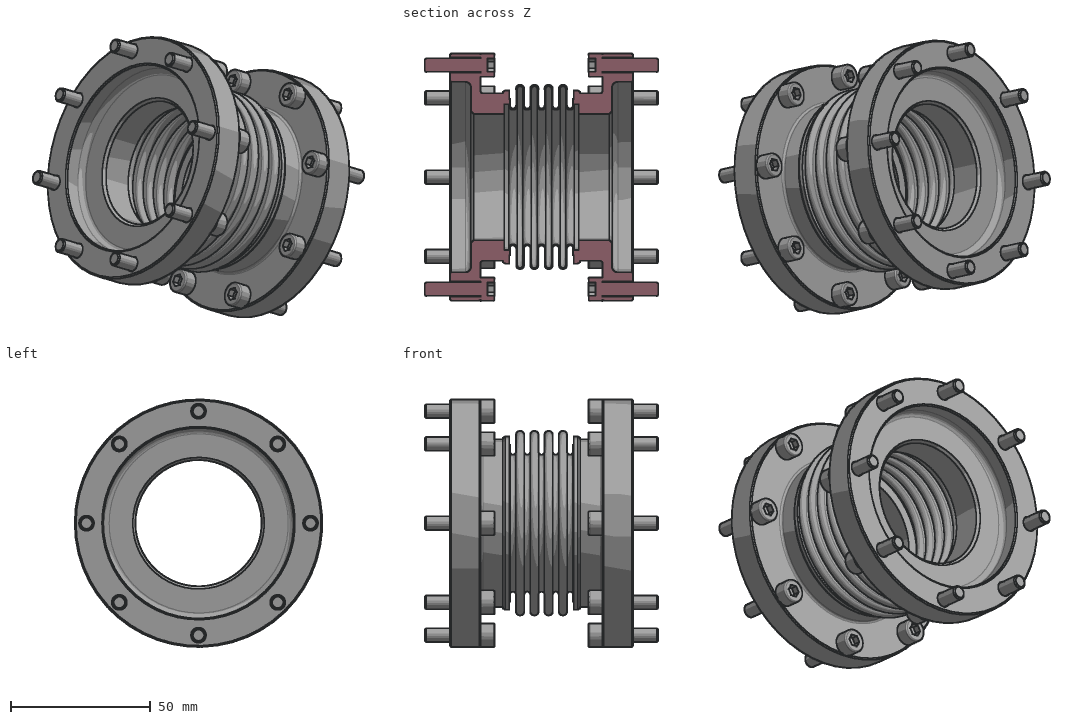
import cadquery as cq
import math


FULL_TURN = 360.0

SCREW_COUNT = 8
SCREW_CIRCLE_RADIUS = 40.0
SHANK_DIAMETER = 5.0
SHANK_LENGTH = 20.0
SHANK_CHAMFER = 0.5
CLEARANCE_DIAMETER = 5.4
HEAD_DIAMETER = 8.5
HEAD_HEIGHT = 5.0
HEAD_FILLET = 0.5
SOCKET_ACROSS_FLATS = 4.0
SOCKET_DEPTH = 2.5
SOCKET_ROTATION = 90.0

HALF_LENGTH = 83.44 / 2
FLANGE_THICKNESS = 11.0
FLANGE_INNER = HALF_LENGTH - SHANK_LENGTH
FLANGE_OUTER = FLANGE_INNER + FLANGE_THICKNESS
COLLAR_OUTER = 13.75
COLLAR_INNER = 11.45
BORE_INNER = 13.25

FLANGE_RADIUS = 88.5 / 2
FLANGE_CHAMFER = 0.5
RECESS_RADIUS = 68.0 / 2
RECESS_DEPTH = 7.5
RECESS_CHAMFER = 0.5
RECESS_FILLET = 2.0
BORE_RADIUS = 45.0 / 2
BORE_CHAMFER = 1.0
COLLAR_BORE_RADIUS = 26.0
NECK_RADIUS = 60.0 / 2
NECK_FILLET = 0.8
COLLAR_RADIUS = 62.0 / 2
COLLAR_SHOULDER_RADIUS = 61.0 / 2
COLLAR_CHAMFER_LENGTH = 0.75

CREST_COUNT = 4
PITCH = 5.1
WALL = 0.5
CREST_RADIUS = 33.0
BELLOWS_INNER_RADIUS = 24.0
END_WALL_RADIUS = 28.0


def revolve_about_x(profile):
    """Revolve a closed (X, radius) profile drawn on the XY plane."""
    return profile.close().revolve(FULL_TURN, (0, 0, 0), (1, 0, 0))


def make_end_fitting():
    """Flange, neck and collar on the +X side as one turned body."""
    recess_floor = FLANGE_OUTER - RECESS_DEPTH
    diagonal = math.sqrt(0.5)
    recess_bend = (
        recess_floor + RECESS_FILLET * (1 - diagonal),
        RECESS_RADIUS - RECESS_FILLET * (1 - diagonal),
    )
    neck_bend = (
        FLANGE_INNER - NECK_FILLET * (1 - diagonal),
        NECK_RADIUS + NECK_FILLET * (1 - diagonal),
    )
    profile = (
        cq.Workplane("XY")
        .moveTo(COLLAR_INNER, COLLAR_BORE_RADIUS)
        .lineTo(BORE_INNER, COLLAR_BORE_RADIUS)
        .lineTo(BORE_INNER, BORE_RADIUS)
        .lineTo(recess_floor - BORE_CHAMFER, BORE_RADIUS)
        .lineTo(recess_floor, BORE_RADIUS + BORE_CHAMFER)
        .lineTo(recess_floor, RECESS_RADIUS - RECESS_FILLET)
        .threePointArc(recess_bend, (recess_floor + RECESS_FILLET, RECESS_RADIUS))
        .lineTo(FLANGE_OUTER - RECESS_CHAMFER, RECESS_RADIUS)
        .lineTo(FLANGE_OUTER, RECESS_RADIUS + RECESS_CHAMFER)
        .lineTo(FLANGE_OUTER, FLANGE_RADIUS - FLANGE_CHAMFER)
        .lineTo(FLANGE_OUTER - FLANGE_CHAMFER, FLANGE_RADIUS)
        .lineTo(FLANGE_INNER + FLANGE_CHAMFER, FLANGE_RADIUS)
        .lineTo(FLANGE_INNER, FLANGE_RADIUS - FLANGE_CHAMFER)
        .lineTo(FLANGE_INNER, NECK_RADIUS + NECK_FILLET)
        .threePointArc(neck_bend, (FLANGE_INNER - NECK_FILLET, NECK_RADIUS))
        .lineTo(COLLAR_OUTER, NECK_RADIUS)
        .lineTo(COLLAR_OUTER, COLLAR_SHOULDER_RADIUS)
        .lineTo(COLLAR_OUTER - COLLAR_CHAMFER_LENGTH, COLLAR_RADIUS)
        .lineTo(COLLAR_INNER, COLLAR_RADIUS)
    )
    return revolve_about_x(profile)


def screw_positions():
    """(Y, Z) centres of the screws on the bolt circle."""
    step = 2 * math.pi / SCREW_COUNT
    angles = [index * step for index in range(SCREW_COUNT)]
    return [(SCREW_CIRCLE_RADIUS * math.cos(a), SCREW_CIRCLE_RADIUS * math.sin(a)) for a in angles]


def make_clearance_holes():
    """Through holes of the flange, wider than the screw shanks."""
    return (
        cq.Workplane("YZ", origin=(FLANGE_INNER, 0, 0))
        .pushPoints(screw_positions())
        .circle(CLEARANCE_DIAMETER / 2)
        .extrude(FLANGE_THICKNESS)
    )


def make_screw():
    """One screw on the X axis, its head seated on the inner flange face."""
    head_top = FLANGE_INNER - HEAD_HEIGHT
    head = (
        cq.Workplane("YZ", origin=(head_top, 0, 0))
        .circle(HEAD_DIAMETER / 2)
        .extrude(HEAD_HEIGHT)
        .faces("<X")
        .edges()
        .fillet(HEAD_FILLET)
    )
    socket = (
        cq.Workplane("YZ", origin=(head_top, 0, 0))
        .transformed(rotate=(0, 0, SOCKET_ROTATION))
        .polygon(6, SOCKET_ACROSS_FLATS, circumscribed=True)
        .extrude(SOCKET_DEPTH)
    )
    shank = (
        cq.Workplane("YZ", origin=(FLANGE_INNER, 0, 0))
        .circle(SHANK_DIAMETER / 2)
        .extrude(SHANK_LENGTH)
        .faces(">X")
        .chamfer(SHANK_CHAMFER)
    )
    return head.cut(socket).union(shank)


def make_bellows():
    """Thin corrugated tube: a wall of even thickness with round crests and valleys."""
    wide_bend = PITCH / 4 + WALL / 2
    tight_bend = PITCH / 4 - WALL / 2
    crest_center_radius = CREST_RADIUS - wide_bend
    valley_center_radius = BELLOWS_INNER_RADIUS + wide_bend
    first_valley = -CREST_COUNT * PITCH / 2
    valleys = [first_valley + index * PITCH for index in range(CREST_COUNT + 1)]

    profile = cq.Workplane("XY").moveTo(valleys[0] - tight_bend, END_WALL_RADIUS)
    for valley in valleys:
        if valley != valleys[0]:
            crest = valley - PITCH / 2
            profile = (
                profile.lineTo(crest - wide_bend, crest_center_radius)
                .threePointArc((crest, CREST_RADIUS), (crest + wide_bend, crest_center_radius))
            )
        profile = (
            profile.lineTo(valley - tight_bend, valley_center_radius)
            .threePointArc(
                (valley, valley_center_radius - tight_bend), (valley + tight_bend, valley_center_radius)
            )
        )
    profile = profile.lineTo(valleys[-1] + tight_bend, END_WALL_RADIUS)

    profile = profile.lineTo(valleys[-1] + wide_bend, END_WALL_RADIUS)
    for valley in reversed(valleys):
        if valley != valleys[-1]:
            crest = valley + PITCH / 2
            profile = (
                profile.lineTo(crest + tight_bend, crest_center_radius)
                .threePointArc(
                    (crest, crest_center_radius + tight_bend), (crest - tight_bend, crest_center_radius)
                )
            )
        profile = (
            profile.lineTo(valley + wide_bend, valley_center_radius)
            .threePointArc((valley, BELLOWS_INNER_RADIUS), (valley - wide_bend, valley_center_radius))
        )
    profile = profile.lineTo(valleys[0] - wide_bend, END_WALL_RADIUS)
    return revolve_about_x(profile)


def make_half():
    """End fitting on the +X side with its screws."""
    side = make_end_fitting().cut(make_clearance_holes())
    screw = make_screw()
    for y, z in screw_positions():
        side = side.union(screw.translate((0, y, z)))
    return side


half = make_half()
result = make_bellows().union(half).union(half.mirror("YZ"))